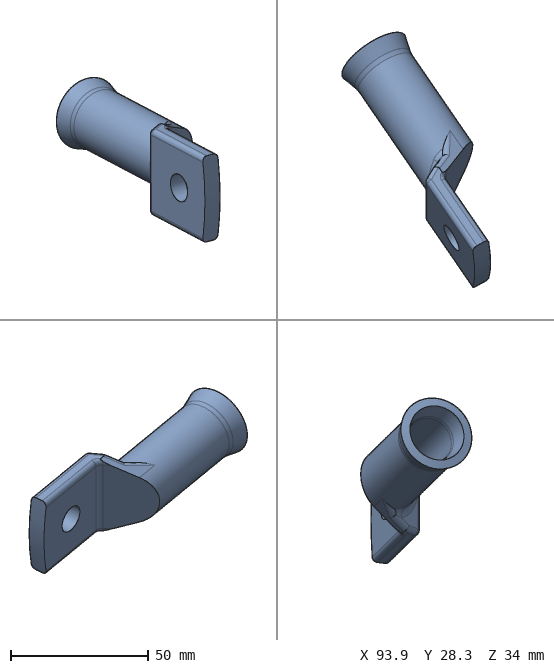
import cadquery as cq
import math

total_length = 93.9
palm_width = 34.0
palm_front_y = -14.55
palm_thickness = 6.85
palm_back_y = palm_front_y + palm_thickness

barrel_radius = 11.7
flare_radius = 13.7
flare_rim_x = 0.7
flare_end_x = 7.9
flare_blend_radius = 7.5
mouth_radius = 10.4
bore_radius = 8.6
bore_depth = 39.4

neck_angle = math.radians(60)
neck_front_x = 59.7
neck_back_x = 61.4
outer_bend_radius = 1.9
inner_bend_radius = 2.8
edge_radius = 2.0
neck_tip_x = 39.9
neck_tip_start_y = -3.3
barrel_blend_radius = 3.6

end_bulge = 1.6
hole_x = 77.8
hole_radius = 5.3

palm_half_width = palm_width / 2
corner_distance = math.hypot(palm_back_y, palm_half_width)
corner_angle = math.atan2(palm_half_width, palm_back_y)
touch_angle = corner_angle - math.acos(barrel_radius / corner_distance)
touch_y = barrel_radius * math.cos(touch_angle)
touch_z = barrel_radius * math.sin(touch_angle)


def slope_x(start_x, start_y, y):
    """X at height y on a neck plane passing through (start_x, start_y)."""
    return start_x - (y - start_y) / math.tan(neck_angle)


def make_barrel():
    """Flared tube with a blind bore, cut off at its far end along the neck's back plane."""
    tube_length = slope_x(neck_back_x, palm_back_y, -barrel_radius)
    tube = (
        cq.Workplane("XY")
        .polyline([
            (bore_depth, 0),
            (bore_depth, bore_radius),
            (flare_end_x, bore_radius),
            (0, mouth_radius),
            (flare_rim_x, flare_radius),
            (flare_end_x, barrel_radius),
            (tube_length, barrel_radius),
            (tube_length, 0),
        ])
        .close()
        .revolve(360, (0, 0, 0), (1, 0, 0))
    )
    flare_foot = cq.selectors.BoxSelector(
        (flare_end_x - 0.1, -flare_radius, -flare_radius),
        (flare_end_x + 0.1, flare_radius, flare_radius),
        boundingbox=False,
    )
    tube = tube.edges(flare_foot).fillet(flare_blend_radius)
    beyond_neck = (
        cq.Workplane("XY")
        .polyline([
            (tube_length, -barrel_radius),
            (slope_x(neck_back_x, palm_back_y, flare_radius), flare_radius),
            (tube_length, flare_radius),
        ])
        .close()
        .extrude(flare_radius, both=True)
    )
    return tube.cut(beyond_neck)


def make_width_outline():
    """Prism along X: full palm width, then tapering tangent to the barrel."""
    return (
        cq.Workplane("YZ")
        .polyline([
            (palm_front_y, -palm_half_width),
            (palm_back_y, -palm_half_width),
            (touch_y, -touch_z),
            (touch_y, touch_z),
            (palm_back_y, palm_half_width),
            (palm_front_y, palm_half_width),
        ])
        .close()
        .extrude(total_length)
    )


def make_strap():
    """Neck and palm as one bent strap, its neck tapering tangent to the barrel."""
    side_profile = (
        cq.Workplane("XY")
        .moveTo(total_length, palm_front_y)
        .lineTo(neck_front_x, palm_front_y)
        .lineTo(slope_x(neck_front_x, palm_front_y, touch_y), touch_y)
        .lineTo(slope_x(neck_back_x, palm_back_y, touch_y), touch_y)
        .lineTo(neck_back_x, palm_back_y)
        .lineTo(total_length, palm_back_y)
        .close()
        .extrude(palm_half_width, both=True)
    )
    end_outline = (
        cq.Workplane("XZ")
        .moveTo(0, -palm_half_width)
        .lineTo(total_length - end_bulge, -palm_half_width)
        .threePointArc((total_length, 0), (total_length - end_bulge, palm_half_width))
        .lineTo(0, palm_half_width)
        .close()
        .extrude(-palm_front_y, both=True)
    )
    return side_profile.intersect(make_width_outline()).intersect(end_outline)


def round_strap(strap):
    """Round the strap's bends, its front edges and the palm's back edges."""
    nearest = cq.selectors.NearestToPointSelector
    strap = strap.edges("|Z").edges(nearest((neck_back_x, palm_back_y, 0))).fillet(inner_bend_radius)

    palm_middle_x = (neck_back_x + total_length) / 2
    for edge_z in (-palm_half_width, palm_half_width):
        back_edge = strap.edges("|X").edges(nearest((palm_middle_x, palm_back_y, edge_z)))
        strap = back_edge.fillet(edge_radius)

    neck_middle = (slope_x(neck_front_x, palm_front_y, palm_back_y), palm_back_y, 0)
    palm_front_edges = strap.faces("<Y").edges("|X")
    neck_front_edges = strap.faces(nearest(neck_middle)).edges("not |Z")
    strap = palm_front_edges.add(neck_front_edges).fillet(edge_radius)

    return strap.edges("|Z").edges(nearest((neck_front_x, palm_front_y, 0))).fillet(outer_bend_radius)


def blend_barrel(lug):
    """Fillet the curve where the underside of the barrel meets the neck."""
    middle_y = -barrel_radius / 2
    joint_middle = (slope_x(neck_front_x, palm_front_y, middle_y), middle_y, 0)
    joint = lug.edges("%ELLIPSE").edges(cq.selectors.NearestToPointSelector(joint_middle))
    return joint.fillet(barrel_blend_radius)


def make_run_out():
    """Shallow-sloped wedge carrying the neck's edges out to a tip on the barrel."""
    start_x = slope_x(neck_front_x, palm_front_y, neck_tip_start_y)
    wedge = (
        cq.Workplane("XY")
        .moveTo(neck_tip_x, touch_y)
        .lineTo(start_x, neck_tip_start_y)
        .lineTo(slope_x(neck_back_x, palm_back_y, neck_tip_start_y), neck_tip_start_y)
        .lineTo(slope_x(neck_back_x, palm_back_y, touch_y), touch_y)
        .close()
        .extrude(palm_half_width, both=True)
        .intersect(make_width_outline())
    )
    slope_middle = ((neck_tip_x + start_x) / 2, (touch_y + neck_tip_start_y) / 2, 0)
    sloped_face = wedge.faces(cq.selectors.NearestToPointSelector(slope_middle))
    return sloped_face.edges("not |Z").fillet(edge_radius)


bolt_hole = (
    cq.Workplane("XZ")
    .center(hole_x, 0)
    .circle(hole_radius)
    .extrude(-palm_front_y, both=True)
)

lug = make_barrel().union(round_strap(make_strap()))
result = blend_barrel(lug).union(make_run_out()).cut(bolt_hole)